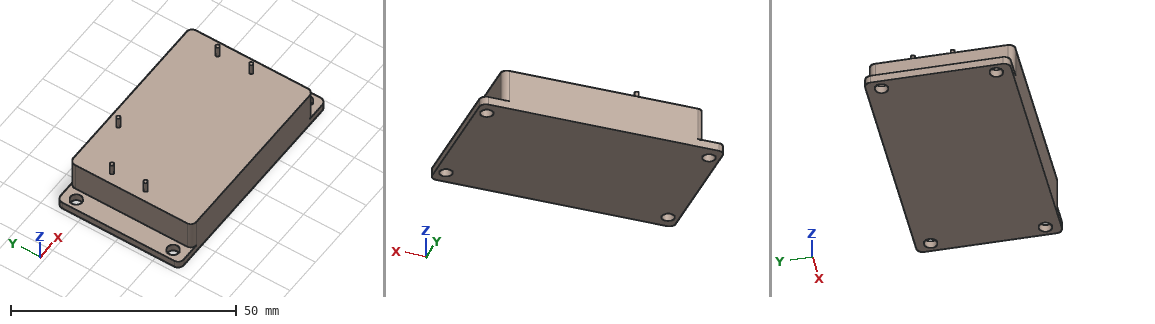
import cadquery as cq

flange_length = 57.5
width = 33.0
flange_thickness = 2.0
corner_radius = 1.5

body_length = 47.5
body_top = 10.0

hole_diameter = 3.0
hole_spacing_x = 52.5
hole_spacing_y = 26.0

pin_diameter = 1.0
pin_top = 13.0
left_pin_x = -21.0
middle_pin_x = -8.95
right_pin_x = 20.5
lower_pin_y = -2.0
upper_pin_y = 7.0
edge_pin_y = 13.5

pin_positions = [
    (left_pin_x, lower_pin_y),
    (left_pin_x, upper_pin_y),
    (middle_pin_x, edge_pin_y),
    (right_pin_x, upper_pin_y),
    (right_pin_x, lower_pin_y),
]


def rounded_block(length, height):
    """Full-width block from Z = 0 with rounded vertical corners."""
    block = cq.Workplane("XY").box(length, width, height, centered=(True, True, False))
    return block.edges("|Z").fillet(corner_radius)


def mounting_holes():
    """Cutters for the four holes through the flange corners."""
    return (
        cq.Workplane("XY")
        .rect(hole_spacing_x, hole_spacing_y, forConstruction=True)
        .vertices()
        .circle(hole_diameter / 2)
        .extrude(flange_thickness)
    )


def terminal_pins():
    """Round pins rising from the top of the body."""
    return (
        cq.Workplane("XY")
        .workplane(offset=body_top)
        .pushPoints(pin_positions)
        .circle(pin_diameter / 2)
        .extrude(pin_top - body_top)
    )


flange = rounded_block(flange_length, flange_thickness).cut(mounting_holes())
body = rounded_block(body_length, body_top)
result = flange.union(body).union(terminal_pins())